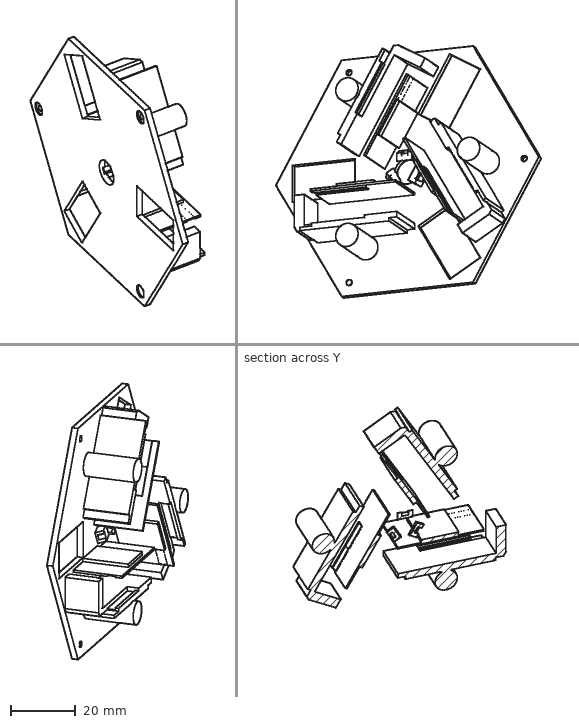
import cadquery as cq
import math

PLATE_CORNER_SPAN = 87.8
PLATE_THICKNESS = 2.0
CENTRE_HOLE_DIAMETER = 8.2

STATION_COUNT = 3
STATION_ANGLE = 360 / STATION_COUNT
HALF_STATION_ANGLE = STATION_ANGLE / 2
PAD_ANGLE = 90.0

SCREW_RADIUS = 39.0
SCREW_HOLE_DIAMETER = 1.85
SCREW_HEAD_DIAMETER = 4.2
SCREW_HEAD_DEPTH = 0.5
CONE_STATION = STATION_COUNT - 1
POST_RADIUS = 27.05
POST_DIAMETER = 7.5
POST_HEIGHT = 16.5

WINDOW_START = 17.5
WINDOW_END = 38.5
WINDOW_HALF_WIDTH = 5.9

BASE_HEIGHT = 11.15
SLOT_TOP = 13.9
FRAME_HEIGHT = 15.0
NEAR_WALL_HEIGHT = 16.1

RAIL_START = -2.5
RAIL_END = 26.0
SLOT_START = 8.35
NEAR_WALL_INNER = -7.9
NEAR_WALL_OUTER = -7.2
NEAR_SLOT_DEPTH = 0.35
FAR_WALL_FACE = -18.9
FAR_SKIN_THICKNESS = 0.35
FAR_LIP_THICKNESS = 1.0
FAR_STOP_THICKNESS = 1.8

OUTER_WALL_START = 0.1
OUTER_WALL_END = 29.95
OUTER_WALL_THICKNESS = 1.05

RIB_START = 5.3
RIB_END = 17.65
RIB_FACE = -6.15

END_BLOCK_END = 33.3
END_BLOCK_BEVEL_U = 0.8
END_BLOCK_BEVEL_V = 1.4

PAD_WIDTH = 5.0
PAD_TIP_RADIUS = 2.8
PAD_HEIGHT = 2.4
PAD_SLOPE = 30.0
PAD_THICKNESS = 2.6
PAD_SLOT_WIDTH = 2.1
PAD_SLOT_LENGTH = 2.3
PAD_SLOT_OFFSET = 1.1
PAD_SLOT_CLEARANCE = 1.8


def box(u_range, v_range, y_range):
    """Box with u along X, v along Z and heights along Y."""
    size = [high - low for low, high in (u_range, y_range, v_range)]
    corner = (u_range[0], y_range[0], v_range[0])
    return cq.Workplane("XY").box(*size, centered=False).translate(corner)


def above_plate(height):
    """Y range from the middle of the plate to a height above its back face."""
    return (PLATE_THICKNESS / 2, PLATE_THICKNESS + height)


def cylinder(diameter, radius, y_start, y_end):
    """Cylinder along Y whose axis crosses +X at the given radius."""
    disc = cq.Workplane("XZ").center(radius, 0).circle(diameter / 2)
    return disc.extrude(y_start - y_end).translate((0, y_start, 0))


def turned(shape, angle):
    """Turn a shape about the plate axis, from +X toward +Z."""
    return shape.rotate((0, 0, 0), (0, 1, 0), -angle)


def plate():
    return cq.Workplane("XZ").polygon(6, PLATE_CORNER_SPAN).extrude(-PLATE_THICKNESS)


def near_wall():
    """Tall wall beside the window, with the card slot and a short rib."""
    wall = box((RAIL_START, RAIL_END), (NEAR_WALL_INNER, NEAR_WALL_OUTER), above_plate(NEAR_WALL_HEIGHT))
    slot = box(
        (SLOT_START, RAIL_END),
        (NEAR_WALL_INNER, NEAR_WALL_INNER + NEAR_SLOT_DEPTH),
        (PLATE_THICKNESS + BASE_HEIGHT, PLATE_THICKNESS + SLOT_TOP),
    )
    rib = box((RIB_START, RIB_END), (NEAR_WALL_OUTER, RIB_FACE), above_plate(FRAME_HEIGHT))
    return wall.cut(slot).union(rib)


def far_wall():
    """Outer wall and far rail: skin, inner stop, ledge and lip."""
    face = FAR_WALL_FACE
    outer = box((OUTER_WALL_START, OUTER_WALL_END), (face - OUTER_WALL_THICKNESS, face), above_plate(FRAME_HEIGHT))
    skin = box((RAIL_START, RAIL_END), (face, face + FAR_SKIN_THICKNESS), above_plate(FRAME_HEIGHT))
    stop = box((RAIL_START, SLOT_START), (face, face + FAR_STOP_THICKNESS), above_plate(FRAME_HEIGHT))
    ledge = box((RAIL_START, OUTER_WALL_END), (face, face + FAR_STOP_THICKNESS), above_plate(BASE_HEIGHT))
    lip = box(
        (RAIL_START, RAIL_END),
        (face, face + FAR_LIP_THICKNESS),
        (PLATE_THICKNESS + SLOT_TOP, PLATE_THICKNESS + FRAME_HEIGHT),
    )
    return outer.union(skin).union(stop).union(ledge).union(lip)


def end_block():
    """Low block across the outer end of the rails, with one beveled corner."""
    outline = [
        (OUTER_WALL_END, NEAR_WALL_OUTER),
        (END_BLOCK_END, NEAR_WALL_OUTER),
        (END_BLOCK_END, FAR_WALL_FACE + END_BLOCK_BEVEL_V),
        (END_BLOCK_END - END_BLOCK_BEVEL_U, FAR_WALL_FACE),
        (OUTER_WALL_END, FAR_WALL_FACE),
    ]
    return cq.Workplane("XZ").polyline(outline).close().extrude(-PLATE_THICKNESS - BASE_HEIGHT)


def post():
    return cylinder(POST_DIAMETER, POST_RADIUS, PLATE_THICKNESS / 2, PLATE_THICKNESS + POST_HEIGHT)


def pad():
    """Pad whose inner face leans toward the plate axis."""
    base_radius = PAD_TIP_RADIUS + PAD_HEIGHT * math.tan(math.radians(PAD_SLOPE))
    tip_height = PLATE_THICKNESS + PAD_HEIGHT
    outline = [
        (PAD_TIP_RADIUS, tip_height),
        (base_radius, PLATE_THICKNESS),
        (base_radius + PAD_THICKNESS, PLATE_THICKNESS),
        (PAD_TIP_RADIUS + PAD_THICKNESS, tip_height),
    ]
    return cq.Workplane("XY").polyline(outline).close().extrude(PAD_WIDTH / 2, both=True)


def pad_slot():
    """Rectangular opening through a pad, square to its sloped face."""
    slope = math.radians(PAD_SLOPE)
    cutter = box(
        (-PAD_SLOT_CLEARANCE, 2 * PAD_THICKNESS),
        (-PAD_SLOT_WIDTH / 2, PAD_SLOT_WIDTH / 2),
        (-PAD_SLOT_LENGTH, 0),
    )
    slot_radius = PAD_TIP_RADIUS + PAD_SLOT_OFFSET * math.sin(slope)
    slot_height = PLATE_THICKNESS + PAD_HEIGHT - PAD_SLOT_OFFSET * math.cos(slope)
    return cutter.rotate((0, 0, 0), (0, 0, 1), PAD_SLOPE).translate((slot_radius, slot_height, 0))


def window():
    return box((WINDOW_START, WINDOW_END), (-WINDOW_HALF_WIDTH, WINDOW_HALF_WIDTH), (0, PLATE_THICKNESS))


def screw_hole(conical):
    """Through hole with a flat or conical seat for the screw head."""
    hole = cylinder(SCREW_HOLE_DIAMETER, SCREW_RADIUS, 0, PLATE_THICKNESS)
    head = cylinder(SCREW_HEAD_DIAMETER, SCREW_RADIUS, 0, SCREW_HEAD_DEPTH)
    hole = hole.union(head)
    if conical:
        head_radius = SCREW_HEAD_DIAMETER / 2
        hole_radius = SCREW_HOLE_DIAMETER / 2
        cone_height = head_radius - hole_radius
        start = cq.Vector(SCREW_RADIUS, SCREW_HEAD_DEPTH, 0)
        cone = cq.Solid.makeCone(head_radius, hole_radius, cone_height, start, cq.Vector(0, 1, 0))
        hole = hole.union(cq.Workplane("XY").add(cone))
    return hole


result = plate()
for station in range(STATION_COUNT):
    angle = station * STATION_ANGLE
    for feature in (near_wall(), far_wall(), end_block()):
        result = result.union(turned(feature, angle))
    result = result.union(turned(post(), angle + HALF_STATION_ANGLE))
    result = result.union(turned(pad(), angle + PAD_ANGLE))

result = result.cut(cylinder(CENTRE_HOLE_DIAMETER, 0, 0, PLATE_THICKNESS))
for station in range(STATION_COUNT):
    angle = station * STATION_ANGLE
    result = result.cut(turned(window(), angle))
    result = result.cut(turned(pad_slot(), angle + PAD_ANGLE))
    result = result.cut(turned(screw_hole(station == CONE_STATION), angle + HALF_STATION_ANGLE))